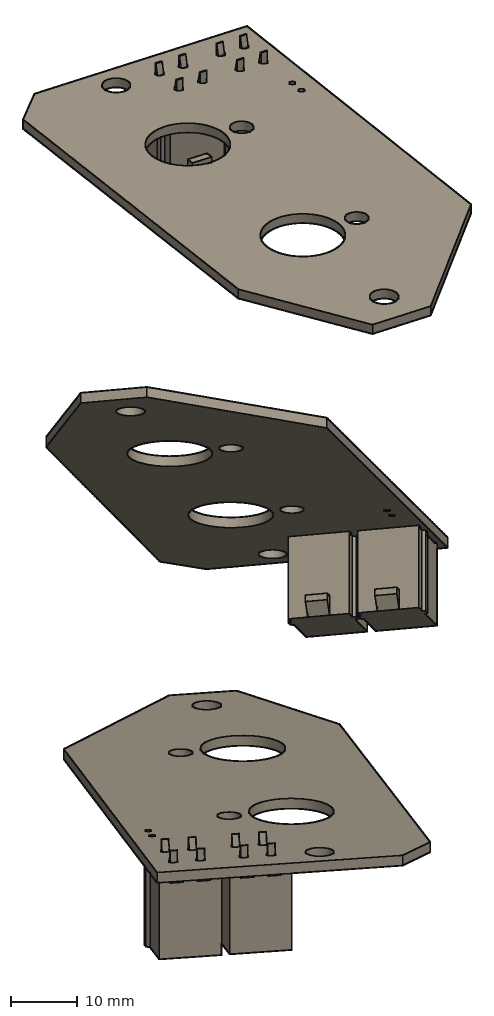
import cadquery as cq

board_length = 85.2
board_thickness = 1.6
left_height = 43.2
right_shoulder_x = 62.8
right_shoulder_y = 42.95
nose_top_y = 21.6
nose_bottom_y = 11.25
bottom_right_x = 65.5
corner_cut = 5.5

shaft_hole_diameter = 12.7
peg_hole_diameter = 3.6
station_x = [25.05, 57.1]
shaft_hole_y = 16.8
peg_hole_y = 26.3
mount_hole_y = 17.2
left_mount_x = 4.4
left_mount_diameter = 4.3
right_mount_x = 79.1
right_mount_diameter = 4.35
lead_hole_diameter = 0.9
lead_hole_x = [18.0, 20.5]
lead_hole_y = 39.8
pin_hole_diameter = 1.4

pin_pattern_x = 7.6
lower_connector_y = 26.7
connector_pitch = 10.8
upper_connector_shift = -0.1
connector_centres = [
    (pin_pattern_x, lower_connector_y),
    (pin_pattern_x + upper_connector_shift, lower_connector_y + connector_pitch),
]

pin_pitch_x = 5.4
pin_pitch_y = 4.2
pin_thickness = 0.6
pin_width = 1.1
pin_tip_thickness = 0.2
pin_protrusion = 1.8
pin_root_depth = 2.05

housing_length = 9.55
housing_width = 9.55
housing_height = 12.9
housing_offset_x = -0.2
relief_depth = 0.25
foot_length = 0.9
notch_width = 2.0
notch_depth = 1.0

rib_height = 0.5
rib_start = 1.4
rib_end = 3.15
rib_back_run = 0.25

latch_reach = 1.3
latch_width = 3.4
latch_height = 3.1
latch_lip = 1.0

pin_offsets = [
    (side * pin_pitch_x / 2, row * pin_pitch_y / 2, side)
    for side in (-1, 1)
    for row in (-1, 1)
]


def drill(plate, points, diameter):
    """Cut round through holes in the board at the given XY points."""
    drills = cq.Workplane("XY").pushPoints(points).circle(diameter / 2).extrude(board_thickness)
    return plate.cut(drills)


def make_board():
    outline = [
        (corner_cut, 0),
        (bottom_right_x, 0),
        (board_length, nose_bottom_y),
        (board_length, nose_top_y),
        (right_shoulder_x, right_shoulder_y),
        (0, left_height),
        (0, corner_cut),
    ]
    plate = cq.Workplane("XY").polyline(outline).close().extrude(board_thickness)
    plate = drill(plate, [(x, shaft_hole_y) for x in station_x], shaft_hole_diameter)
    plate = drill(plate, [(x, peg_hole_y) for x in station_x], peg_hole_diameter)
    plate = drill(plate, [(left_mount_x, mount_hole_y)], left_mount_diameter)
    plate = drill(plate, [(right_mount_x, mount_hole_y)], right_mount_diameter)
    plate = drill(plate, [(x, lead_hole_y) for x in lead_hole_x], lead_hole_diameter)
    pin_holes = [
        (pin_pattern_x + dx, lower_connector_y + index * connector_pitch + dy)
        for index in range(len(connector_centres))
        for dx, dy, _ in pin_offsets
    ]
    return drill(plate, pin_holes, pin_hole_diameter)


def make_rib(side):
    """Full-height rib on one Y side: 45 degree ramp, flat crest, steep back."""
    wall = housing_width / 2
    crest = wall + rib_height
    profile = [
        (rib_start, 0),
        (rib_start, side * wall),
        (rib_start + rib_height, side * crest),
        (rib_end - rib_back_run, side * crest),
        (rib_end, side * wall),
        (rib_end, 0),
    ]
    rib = cq.Workplane("XY").polyline(profile).close()
    return rib.extrude(-housing_height + relief_depth).translate((0, 0, -relief_depth))


def make_latch():
    """Hook on the +X face: flat catch on top, ramp down to the lower edge."""
    face = housing_length / 2
    catch_z = latch_height - housing_height
    profile = [
        (0, catch_z),
        (face + latch_reach, catch_z),
        (face + latch_reach, catch_z - latch_lip),
        (face, -housing_height),
        (0, -housing_height),
    ]
    return cq.Workplane("XZ").polyline(profile).close().extrude(latch_width / 2, both=True)


def make_housing():
    """Housing centred on X = Y = 0 with its top at Z = 0."""
    body = cq.Workplane("XY").box(
        housing_length, housing_width, housing_height, centered=(True, True, False)
    ).translate((0, 0, -housing_height))

    relief = cq.Workplane("XY").rect(housing_length - 2 * foot_length, housing_width)
    body = body.cut(relief.extrude(-relief_depth))

    notch_length = (housing_length - pin_pitch_x) / 2 - housing_offset_x
    for row in (-1, 1):
        notch = cq.Workplane("XY").center((notch_length - housing_length) / 2, row * pin_pitch_y / 2)
        body = body.cut(notch.rect(notch_length, notch_width).extrude(-notch_depth))

    for side in (-1, 1):
        body = body.union(make_rib(side))
    return body.union(make_latch())


def make_pin(x, y, side):
    """Flat pin with its outer face upright and its inner face tapered above the board."""
    outer = side * pin_thickness / 2
    tip_z = board_thickness + pin_protrusion
    root_z = -pin_root_depth
    profile = [
        (outer, root_z),
        (outer, tip_z),
        (outer - side * pin_tip_thickness, tip_z),
        (-outer, board_thickness),
        (-outer, root_z),
    ]
    pin = cq.Workplane("XZ").polyline(profile).close().extrude(pin_width / 2, both=True)
    return pin.translate((x, y, 0))


def make_connector(centre_x, centre_y):
    connector = make_housing().translate((housing_offset_x, 0, 0))
    for dx, dy, side in pin_offsets:
        connector = connector.union(make_pin(dx, dy, side))
    return connector.translate((centre_x, centre_y, 0)).solids()


board = make_board().solids()
connectors = [make_connector(x, y) for x, y in connector_centres]

result = cq.Compound.makeCompound([board.val(), *[connector.val() for connector in connectors]])